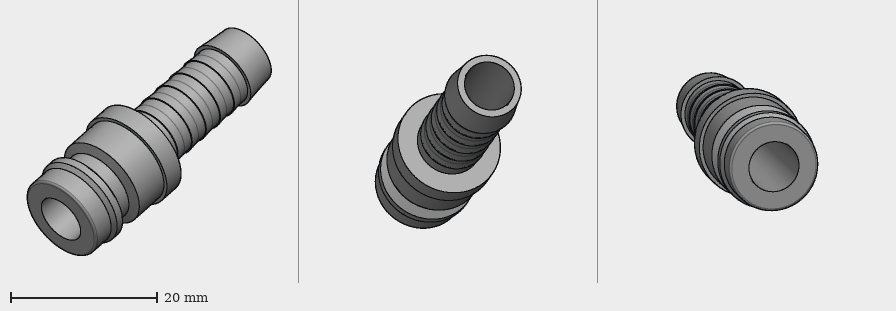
import cadquery as cq

length = 39.5
bore_radius = 3.5

nose_radius = 6.25
nose_fillet = 0.3
body_radius = 6.7
neck_radius = 5.4
flange_diameter = 14.5
flange_radius = flange_diameter / 2

nose_end = 3.25
rim_start = 3.95
rim_end = 5.15
neck_start = 5.9
neck_end = 8.0
body_start = 8.7
flange_start = 13.95
flange_end = 17.0

stem_radius = 4.5
barb_radius = 4.65
barb_count = 5
barb_pitch = 3.0
barb_length = barb_pitch / 2
first_barb = 19.45
end_barb_radius = 5.05
end_barb_length = 5.05
end_barb_start = length - end_barb_length
end_barb_sag = 0.05


def add_barb(profile, shoulder):
    """Add a barb with a square shoulder and a taper back down to the stem."""
    return (
        profile.lineTo(stem_radius, shoulder)
        .lineTo(barb_radius, shoulder)
        .lineTo(stem_radius, shoulder + barb_length)
    )


profile = (
    cq.Workplane("XY")
    .moveTo(bore_radius, 0)
    .lineTo(nose_radius - nose_fillet, 0)
    .radiusArc((nose_radius, nose_fillet), -nose_fillet)
    .lineTo(nose_radius, nose_end)
    .lineTo(body_radius, rim_start)
    .lineTo(body_radius, rim_end)
    .lineTo(neck_radius, neck_start)
    .lineTo(neck_radius, neck_end)
    .lineTo(body_radius, body_start)
    .lineTo(body_radius, flange_start)
    .lineTo(flange_radius, flange_start)
    .lineTo(flange_radius, flange_end)
    .lineTo(stem_radius, flange_end)
)

for index in range(barb_count):
    profile = add_barb(profile, first_barb + index * barb_pitch)

end_barb_middle = (
    (end_barb_radius + stem_radius) / 2 - end_barb_sag,
    end_barb_start + end_barb_length / 2,
)
profile = (
    profile.lineTo(stem_radius, end_barb_start)
    .lineTo(end_barb_radius, end_barb_start)
    .threePointArc(end_barb_middle, (stem_radius, length))
    .lineTo(bore_radius, length)
    .close()
)

result = profile.revolve(360, (0, 0, 0), (0, 1, 0))